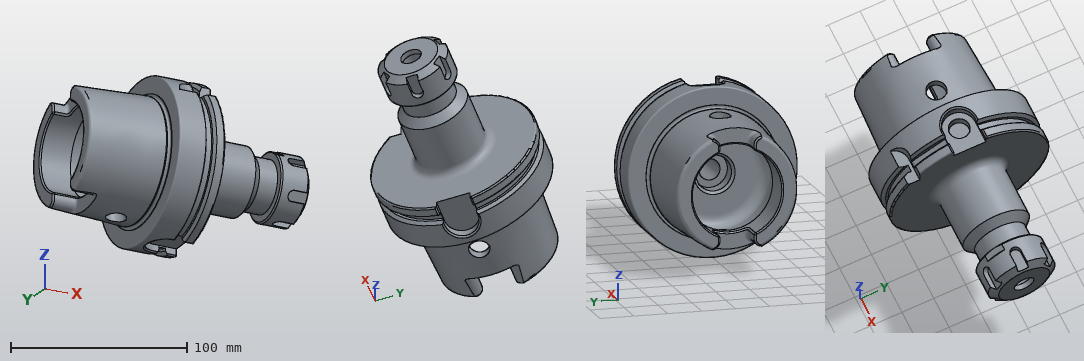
import cadquery as cq
import math


TOLERANCE = 0.02

SHANK_LENGTH = 50.0
FLANGE_WIDTH = 29.0
OVERALL_LENGTH = 150.0
NUT_END = OVERALL_LENGTH - SHANK_LENGTH

TAPER_FRONT_RADIUS = 35.4
TAPER_BASE_RADIUS = 37.8
TAPER_BASE_X = -2.4
SHANK_NOSE_FILLET = 2.0
RELIEF_RADIUS = 37.4
RELIEF_BEVEL = 0.9
RELIEF_FILLET = 0.8
RELIEF_FACE_RADIUS = 39.5
RELIEF_DEPTH = 0.3

BORE_RADIUS = 26.4
BORE_EDGE_CHAMFER = 0.9
CLAMP_RECESS_RADIUS = 31.5
CLAMP_RECESS_START_X = -30.3
CLAMP_RECESS_FILLET = 6.9
BORE_FLOOR_X = -3.2
COOLANT_SEAT_RADIUS = 10.5
COOLANT_SEAT_DEPTH = 10.0
COOLANT_SEAT_CHAMFER = 1.6
COOLANT_HOLE_RADIUS = 6.2
CROSS_HOLE_RADIUS = 6.0
CROSS_HOLE_X = -15.0

TENON_HALF_WIDTH = 10.0
TENON_ARC_START_Z = 27.5
TENON_ARC_RADIUS = 4.8
TENON_TOP_DEPTH = 10.0
TENON_BOTTOM_DEPTH = 15.0
TENON_FLOOR_FILLET = 1.8
TENON_MOUTH_CHAMFER = 1.0

FLANGE_RADIUS = 100.0 / 2
FLANGE_EDGE_FILLET = 0.9
GROOVE_RADIUS = 46.0
GROOVE_CENTRE_X = 20.0
GROOVE_FLOOR_WIDTH = 4.2
GROOVE_FLANK_WIDTH = 1.4
GROOVE_FLANK_DEPTH = GROOVE_FLANK_WIDTH * math.tan(math.radians(60))
GROOVE_FLAT_DISTANCE = 44.7
GROOVE_FLAT_ANGLE = 27.0

DRIVE_SLOT_HALF_WIDTH = 10.0
DRIVE_SLOT_CHAMFER = 1.0
DRIVE_SLOT_CENTRE_X = 15.0
DRIVE_SLOT_FLOOR_Z = 44.0
CHIP_HOLE_RADIUS = 6.2
CHIP_HOLE_DEPTH = 5.5
NOTCH_OFFSET = 31.5
NOTCH_END_RADIUS = 9.0
NOTCH_CENTRE_X = 14.5

NOSE_RADIUS = 21.0
NOSE_FILLET = 5.0
NOSE_END_X = 63.5
NECK_RADIUS = 16.0
NECK_START_X = NOSE_END_X + NOSE_RADIUS - NECK_RADIUS

NUT_LENGTH = 20.1
NUT_START = NUT_END - NUT_LENGTH
NUT_RADIUS = 21.0
NUT_BACK_CHAMFER = 0.9
NUT_FRONT_RADIUS = 16.0
NUT_CONE_LENGTH = 3.3
NECK_END_X = NUT_END - NUT_CONE_LENGTH
WRENCH_SLOT_COUNT = 6
WRENCH_SLOT_HALF_WIDTH = 3.3
WRENCH_SLOT_FLOOR_RADIUS = 17.4
WRENCH_SLOT_START_X = 85.6
NUT_FLAT_DISTANCE = 20.1
NUT_FLAT_LENGTH = 4.5
NUT_FLAT_ANGLE = 30.0


def turned(profile):
    """Revolve a closed profile drawn as (x, radius) about the tool axis."""
    return profile.close().revolve(360, (0, 0, 0), (1, 0, 0))


def shank_blank():
    """Solid taper with a rounded nose and a relief neck in front of the flange."""
    profile = (
        cq.Workplane("XY")
        .moveTo(-SHANK_LENGTH, 0)
        .lineTo(-SHANK_LENGTH, TAPER_FRONT_RADIUS)
        .lineTo(TAPER_BASE_X, TAPER_BASE_RADIUS)
        .lineTo(TAPER_BASE_X + RELIEF_BEVEL, RELIEF_RADIUS)
        .lineTo(RELIEF_DEPTH - RELIEF_FILLET, RELIEF_RADIUS)
        .radiusArc((RELIEF_DEPTH, RELIEF_RADIUS + RELIEF_FILLET), -RELIEF_FILLET)
        .lineTo(RELIEF_DEPTH, 0)
    )
    return turned(profile).faces("<X").edges().fillet(SHANK_NOSE_FILLET)


def round_ended_slot(start_x, open_end_x, half_width, floor_z, top_z):
    """Cutter along X with a round end at start_x, from floor_z up to top_z."""
    centre_x = start_x + half_width
    return (
        cq.Workplane("XY")
        .workplane(offset=floor_z)
        .moveTo(open_end_x, half_width)
        .lineTo(centre_x, half_width)
        .threePointArc((start_x, 0), (centre_x, -half_width))
        .lineTo(open_end_x, -half_width)
        .close()
        .extrude(top_z - floor_z)
    )


def flat_cutter(start_x, length, radius, distance, angle):
    """Block that cuts a flat at a distance from the axis on a cylinder, tilted from +Z toward -Y."""
    half_chord = math.sqrt(radius**2 - distance**2)
    return (
        cq.Workplane("XY")
        .box(length, 2 * half_chord, radius - distance, centered=(False, True, False))
        .translate((start_x, 0, distance))
        .rotate((0, 0, 0), (1, 0, 0), angle)
    )


def flange_profile():
    """Turned outline of the flange with its gripper groove."""
    flank_bottom = FLANGE_RADIUS - GROOVE_FLANK_DEPTH
    floor_start = GROOVE_CENTRE_X - GROOVE_FLOOR_WIDTH / 2
    floor_end = GROOVE_CENTRE_X + GROOVE_FLOOR_WIDTH / 2
    profile = (
        cq.Workplane("XY")
        .moveTo(RELIEF_DEPTH, 0)
        .lineTo(RELIEF_DEPTH, RELIEF_FACE_RADIUS)
        .lineTo(0, RELIEF_FACE_RADIUS)
        .lineTo(0, FLANGE_RADIUS - FLANGE_EDGE_FILLET)
        .radiusArc((FLANGE_EDGE_FILLET, FLANGE_RADIUS), FLANGE_EDGE_FILLET)
        .lineTo(floor_start - GROOVE_FLANK_WIDTH, FLANGE_RADIUS)
        .lineTo(floor_start, flank_bottom)
        .lineTo(floor_start, GROOVE_RADIUS)
        .lineTo(floor_end, GROOVE_RADIUS)
        .lineTo(floor_end, flank_bottom)
        .lineTo(floor_end + GROOVE_FLANK_WIDTH, FLANGE_RADIUS)
        .lineTo(FLANGE_WIDTH - FLANGE_EDGE_FILLET, FLANGE_RADIUS)
        .radiusArc((FLANGE_WIDTH, FLANGE_RADIUS - FLANGE_EDGE_FILLET), FLANGE_EDGE_FILLET)
        .lineTo(FLANGE_WIDTH, 0)
    )
    return turned(profile)


def edges_at_radius(shape, radius, start_x, end_x):
    """Edges with a middle between start_x and end_x that lies on a cylinder about the tool axis."""
    found = []
    for edge in shape.edges().vals():
        middle = edge.positionAt(0.5)
        on_cylinder = abs(math.hypot(middle.y, middle.z) - radius) < TOLERANCE
        if on_cylinder and start_x < middle.x < end_x and not is_seam(edge):
            found.append(edge)
    return found


def is_seam(edge):
    """A seam of a turned face is a straight line in the plane Z = 0."""
    return edge.geomType() == "LINE" and abs(edge.positionAt(0.5).z) < TOLERANCE


def flange():
    """Flange with two chamfered drive slots, the gripper groove and the orientation notch."""
    disc = cq.Workplane("YZ").circle(FLANGE_RADIUS).extrude(FLANGE_WIDTH)
    slot = round_ended_slot(
        DRIVE_SLOT_CENTRE_X - DRIVE_SLOT_HALF_WIDTH,
        FLANGE_WIDTH,
        DRIVE_SLOT_HALF_WIDTH,
        DRIVE_SLOT_FLOOR_Z,
        FLANGE_RADIUS,
    )
    disc = disc.cut(slot).cut(slot.rotate((0, 0, 0), (1, 0, 0), 180))
    slot_rims = edges_at_radius(disc, FLANGE_RADIUS, TOLERANCE, FLANGE_WIDTH - TOLERANCE)
    disc = disc.newObject(slot_rims).chamfer(DRIVE_SLOT_CHAMFER)
    chip_hole = (
        cq.Workplane("XY")
        .workplane(offset=DRIVE_SLOT_FLOOR_Z - CHIP_HOLE_DEPTH)
        .center(DRIVE_SLOT_CENTRE_X, 0)
        .circle(CHIP_HOLE_RADIUS)
        .extrude(CHIP_HOLE_DEPTH)
    )
    return disc.intersect(flange_profile()).cut(chip_hole).cut(groove_flat()).cut(orientation_notch())


def groove_flat():
    """Flat on the groove floor between the top drive slot and the orientation notch."""
    start_x = GROOVE_CENTRE_X - GROOVE_FLOOR_WIDTH / 2
    return flat_cutter(
        start_x, GROOVE_FLOOR_WIDTH, GROOVE_RADIUS, GROOVE_FLAT_DISTANCE, GROOVE_FLAT_ANGLE
    )


def orientation_notch():
    """Corner notch in the -Y, +Z quadrant with an upright rounded end."""
    height = FLANGE_RADIUS - NOTCH_OFFSET
    return (
        cq.Workplane("XY")
        .workplane(offset=NOTCH_OFFSET)
        .moveTo(FLANGE_WIDTH, -NOTCH_OFFSET)
        .lineTo(NOTCH_CENTRE_X, -NOTCH_OFFSET)
        .radiusArc((NOTCH_CENTRE_X - NOTCH_END_RADIUS, -NOTCH_OFFSET - NOTCH_END_RADIUS), -NOTCH_END_RADIUS)
        .lineTo(NOTCH_CENTRE_X - NOTCH_END_RADIUS, -FLANGE_RADIUS)
        .lineTo(FLANGE_WIDTH, -FLANGE_RADIUS)
        .close()
        .extrude(height)
    )


def nose():
    """Nose behind the flange and the neck that enters the nut."""
    profile = (
        cq.Workplane("XY")
        .moveTo(FLANGE_WIDTH, 0)
        .lineTo(FLANGE_WIDTH, NOSE_RADIUS + NOSE_FILLET)
        .radiusArc((FLANGE_WIDTH + NOSE_FILLET, NOSE_RADIUS), -NOSE_FILLET)
        .lineTo(NOSE_END_X, NOSE_RADIUS)
        .lineTo(NECK_START_X, NECK_RADIUS)
        .lineTo(NECK_END_X, NECK_RADIUS)
        .lineTo(NECK_END_X, 0)
    )
    return turned(profile)


def bore_cutter():
    """Stepped bore of the shank and the coolant hole through the tool axis."""
    floor_x = BORE_FLOOR_X
    seat_x = floor_x + COOLANT_SEAT_DEPTH
    profile = (
        cq.Workplane("XY")
        .moveTo(-SHANK_LENGTH, 0)
        .lineTo(-SHANK_LENGTH, BORE_RADIUS)
        .lineTo(CLAMP_RECESS_START_X, BORE_RADIUS)
        .lineTo(CLAMP_RECESS_START_X, CLAMP_RECESS_RADIUS)
        .lineTo(floor_x - CLAMP_RECESS_FILLET, CLAMP_RECESS_RADIUS)
        .radiusArc((floor_x, CLAMP_RECESS_RADIUS - CLAMP_RECESS_FILLET), CLAMP_RECESS_FILLET)
        .lineTo(floor_x, COOLANT_SEAT_RADIUS + COOLANT_SEAT_CHAMFER)
        .lineTo(floor_x + COOLANT_SEAT_CHAMFER, COOLANT_SEAT_RADIUS)
        .lineTo(seat_x, COOLANT_SEAT_RADIUS)
        .lineTo(seat_x, COOLANT_HOLE_RADIUS)
        .lineTo(NUT_END, COOLANT_HOLE_RADIUS)
        .lineTo(NUT_END, 0)
    )
    return turned(profile)


def tenon_outline(x, growth):
    """Driving-slot section at x, whose walls are moved outward by growth."""
    wall = TENON_HALF_WIDTH + growth
    radius = TENON_ARC_RADIUS - growth
    ledge_z = TENON_ARC_START_Z + radius
    arc_end_y = wall + radius
    side = 2 * TAPER_BASE_RADIUS
    return (
        cq.Workplane("YZ")
        .workplane(offset=x)
        .moveTo(-wall, 0)
        .lineTo(-wall, TENON_ARC_START_Z)
        .radiusArc((-arc_end_y, ledge_z), -radius)
        .lineTo(-side, ledge_z)
        .lineTo(-side, side)
        .lineTo(side, side)
        .lineTo(side, ledge_z)
        .lineTo(arc_end_y, ledge_z)
        .radiusArc((wall, TENON_ARC_START_Z), -radius)
        .lineTo(wall, 0)
        .close()
    )


def tenon_cutter(depth):
    """Driving slot open toward +Z, with a filleted floor and a chamfered mouth."""
    slot = tenon_outline(-SHANK_LENGTH, 0).extrude(depth)
    slot = slot.faces(">X").edges().fillet(TENON_FLOOR_FILLET)
    mouth = cq.Solid.makeLoft(
        [
            tenon_outline(-SHANK_LENGTH, TENON_MOUTH_CHAMFER).val(),
            tenon_outline(TENON_MOUTH_CHAMFER - SHANK_LENGTH, 0).val(),
        ],
        True,
    )
    return slot.union(cq.Workplane(mouth))


def holder_body():
    """Tool holder: taper shank, flange, nose and neck in one solid."""
    body = shank_blank().union(flange()).union(nose()).cut(bore_cutter())
    body = body.cut(tenon_cutter(TENON_TOP_DEPTH))
    body = body.cut(tenon_cutter(TENON_BOTTOM_DEPTH).rotate((0, 0, 0), (1, 0, 0), 180))
    mouth_start_x = -SHANK_LENGTH - TOLERANCE
    mouth_end_x = TENON_BOTTOM_DEPTH - SHANK_LENGTH + TOLERANCE
    mouth_edges = edges_at_radius(body, BORE_RADIUS, mouth_start_x, mouth_end_x)
    body = body.newObject(mouth_edges).chamfer(BORE_EDGE_CHAMFER)
    cross_hole = (
        cq.Workplane("XY")
        .center(CROSS_HOLE_X, 0)
        .circle(CROSS_HOLE_RADIUS)
        .extrude(TAPER_BASE_RADIUS, both=True)
    )
    return body.cut(cross_hole)


def nut_body():
    """Clamping nut, whose recess takes the end of the neck."""
    profile = (
        cq.Workplane("XY")
        .moveTo(NUT_START, NECK_RADIUS)
        .lineTo(NUT_START, NUT_RADIUS - NUT_BACK_CHAMFER)
        .lineTo(NUT_START + NUT_BACK_CHAMFER, NUT_RADIUS)
        .lineTo(NUT_END - NUT_CONE_LENGTH, NUT_RADIUS)
        .lineTo(NUT_END, NUT_FRONT_RADIUS)
        .lineTo(NUT_END, COOLANT_HOLE_RADIUS)
        .lineTo(NECK_END_X, COOLANT_HOLE_RADIUS)
        .lineTo(NECK_END_X, NECK_RADIUS)
    )
    body = turned(profile)
    slot = round_ended_slot(
        WRENCH_SLOT_START_X, NUT_END, WRENCH_SLOT_HALF_WIDTH, WRENCH_SLOT_FLOOR_RADIUS, NUT_RADIUS
    )
    for index in range(WRENCH_SLOT_COUNT):
        angle = index * 360 / WRENCH_SLOT_COUNT
        body = body.cut(slot.rotate((0, 0, 0), (1, 0, 0), angle))
    flat = flat_cutter(NUT_START, NUT_FLAT_LENGTH, NUT_RADIUS, NUT_FLAT_DISTANCE, NUT_FLAT_ANGLE)
    return body.cut(flat)


holder = holder_body()
nut = nut_body()
result = cq.Compound.makeCompound([holder.val(), nut.val()])